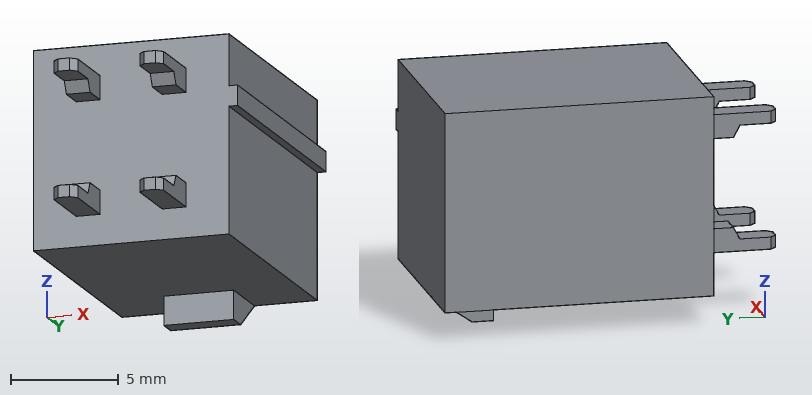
import cadquery as cq

overall_length = 16.3

housing_width = 9.57
housing_height = 9.6
housing_length = 12.8

rail_height = 0.42
rail_width = 0.98
rail_top_drop = 2.5

latch_width = 3.42
latch_height = 1.4
latch_length = 3.03
latch_ramp_length = 2.0

pin_length = overall_length - housing_length
pin_width = 1.15
pin_root_height = 1.15
pin_tip_height = 0.59
pin_pitch_x = 4.2
pin_row_span = 6.65
root_inner_length = 1.43
root_outer_length = 1.75
tip_chamfer = 0.3

half_width = housing_width / 2
half_height = housing_height / 2


def make_block():
    return cq.Workplane("XY").box(
        housing_width, housing_length, housing_height, centered=(True, False, True)
    )


def make_rail():
    """Full-length rail, standing out from the +X side."""
    return (
        cq.Workplane("XY")
        .box(rail_height, housing_length, rail_width, centered=False)
        .translate((half_width, 0, half_height - rail_top_drop - rail_width))
    )


def make_latch():
    """Catch with an upright front face and a ramp rising to the back edge."""
    bottom = -half_height - latch_height
    latch_front = housing_length - latch_length
    return (
        cq.Workplane("YZ")
        .polyline([
            (housing_length, -half_height),
            (latch_front, -half_height),
            (latch_front, bottom),
            (housing_length - latch_ramp_length, bottom),
        ])
        .close()
        .extrude(latch_width / 2, both=True)
    )


def make_pin(x, row_side):
    """Stepped pin; row_side is +1 for the upper row and -1 for the lower."""
    outer = row_side * pin_row_span / 2
    step = outer - row_side * pin_tip_height
    inner = outer - row_side * pin_root_height
    pin = (
        cq.Workplane("YZ")
        .polyline([
            (0, outer),
            (-pin_length, outer),
            (-pin_length, step),
            (-root_outer_length, step),
            (-root_inner_length, inner),
            (0, inner),
        ])
        .close()
        .extrude(pin_width / 2, both=True)
    )
    return pin.faces("<Y").edges("|Z").chamfer(tip_chamfer).translate((x, 0, 0))


housing = make_block().union(make_rail()).union(make_latch())

pins = []
for row_side in (1, -1):
    for column_side in (-1, 1):
        pins.append(make_pin(column_side * pin_pitch_x / 2, row_side).val())

result = cq.Compound.makeCompound([housing.val(), *pins])